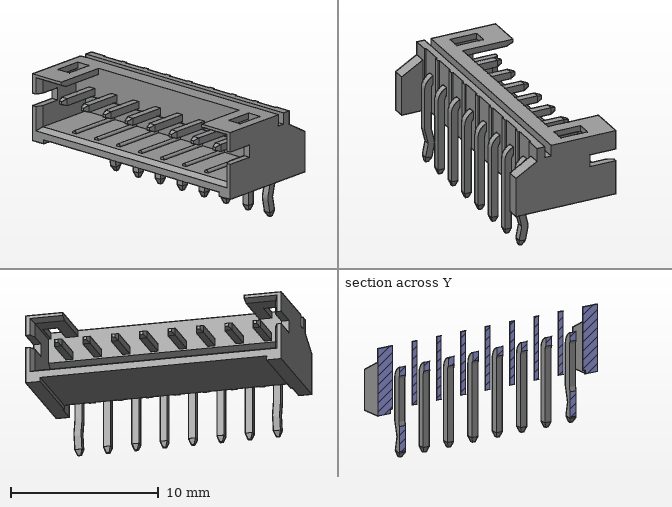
import cadquery as cq
import math


LENGTH = 18.0
DEPTH = 7.6
HEIGHT = 4.8
BODY_REAR = 6.0
ARM_WIDTH = 0.92
ARM_SLOPE_DROP = 0.97
ARM_SLOPE_ANGLE = 30.0
FOOT_WIDTH = 1.03
FOOT_HEIGHT = 0.29

GROOVE_FRONT = 4.91
GROOVE_WIDTH = 0.49
GROOVE_DEPTH = 0.81

SIDE_WALL = 0.52
TOP_WALL = 0.43
FLOOR_Z = 0.99
CAVITY_DEPTH = 3.82
LEAD_IN = 0.22
LEAD_IN_DEPTH = 0.49
UNDERCUT_TOP = 2.65
UNDERCUT_RISE = 0.5
UNDERCUT_DEPTH = 1.0

WINDOW_MARGIN = 2.61
SLOT_MARGIN = 0.7
SLOT_WIDTH = 1.05
SLOT_FRONT = 1.8
NOTCH_DEPTH = 1.96
NOTCH_BOTTOM = 2.52
NOTCH_HEIGHT = 0.88

RIB_RADIUS = 0.171
RIB_FRONT = 0.92

PIN_COUNT = 8
PITCH = 2.0
PIN = 0.5
PIN_TIP = 0.22
TAPER_LENGTH = 0.4
PIN_AXIS_Z = 3.02
PIN_FRONT = 0.61
PIN_BOTTOM = -3.3
BEND_INNER = 0.5
LEG_GAP = 0.04
PIN_RECESS_WIDTH = 1.6
PIN_RECESS_DEPTH = 0.1

KINK_START_Z = -0.74
KINK_PEAK_Z = -1.84
KINK_END_Z = -2.85
KINK_OFFSET = 0.27
KINK_END_OFFSET = 0.07
KINK_RADIUS = 1.0

LEG_FRONT = BODY_REAR + LEG_GAP
LEG_REAR = LEG_FRONT + PIN
LEG_TOP = PIN_AXIS_Z - PIN / 2 - BEND_INNER
TAPER_ANGLE = math.degrees(math.atan((PIN - PIN_TIP) / 2 / TAPER_LENGTH))
PIN_XS = [(i - (PIN_COUNT - 1) / 2) * PITCH for i in range(PIN_COUNT)]


def block(x0, x1, y0, y1, z0, z1):
    """Box between two opposite corners."""
    return cq.Workplane("XY").box(x1 - x0, y1 - y0, z1 - z0, centered=False).translate((x0, y0, z0))


def centred_block(width, y0, y1, z0, z1):
    return block(-width / 2, width / 2, y0, y1, z0, z1)


def extrude_across(points, width):
    """Extrude a closed (y, z) outline along X, centred on X = 0."""
    return cq.Workplane("YZ").polyline(points).close().extrude(width / 2, both=True)


def shroud_blank():
    arm_drop = (DEPTH - BODY_REAR) * math.tan(math.radians(ARM_SLOPE_ANGLE))
    slope_top = HEIGHT - ARM_SLOPE_DROP
    outline = [
        (0, 0),
        (DEPTH, 0),
        (DEPTH, slope_top - arm_drop),
        (BODY_REAR, slope_top),
        (BODY_REAR, HEIGHT),
        (0, HEIGHT),
    ]
    blank = extrude_across(outline, LENGTH)
    blank = blank.cut(centred_block(LENGTH - 2 * ARM_WIDTH, BODY_REAR, DEPTH, 0, HEIGHT))
    blank = blank.cut(centred_block(LENGTH - 2 * FOOT_WIDTH, 0, DEPTH, 0, FOOT_HEIGHT))
    groove_rear = GROOVE_FRONT + GROOVE_WIDTH
    return blank.cut(centred_block(LENGTH, GROOVE_FRONT, groove_rear, HEIGHT - GROOVE_DEPTH, HEIGHT))


def cavity():
    width = LENGTH - 2 * SIDE_WALL
    height = HEIGHT - TOP_WALL - FLOOR_Z
    middle_z = FLOOR_Z + height / 2
    main = centred_block(width, 0, CAVITY_DEPTH, FLOOR_Z, FLOOR_Z + height)
    mouth = (
        cq.Workplane("XZ", origin=(0, 0, middle_z))
        .rect(width + 2 * LEAD_IN, height + 2 * LEAD_IN)
        .workplane(offset=-LEAD_IN_DEPTH)
        .rect(width, height)
        .loft(ruled=True)
    )
    undercut_rear = CAVITY_DEPTH + UNDERCUT_DEPTH
    undercut = extrude_across(
        [
            (CAVITY_DEPTH, FLOOR_Z),
            (undercut_rear, FLOOR_Z),
            (undercut_rear, UNDERCUT_TOP - UNDERCUT_RISE),
            (CAVITY_DEPTH, UNDERCUT_TOP),
        ],
        width,
    )
    return main.union(mouth).union(undercut)


def wall_openings():
    roof_z = HEIGHT - TOP_WALL
    openings = centred_block(LENGTH - 2 * WINDOW_MARGIN, 0, CAVITY_DEPTH, roof_z, HEIGHT)
    openings = openings.union(
        centred_block(LENGTH, 0, NOTCH_DEPTH, NOTCH_BOTTOM, NOTCH_BOTTOM + NOTCH_HEIGHT)
    )
    slot_start = SLOT_MARGIN - LENGTH / 2
    slot = block(slot_start, slot_start + SLOT_WIDTH, SLOT_FRONT, CAVITY_DEPTH, roof_z, HEIGHT)
    return openings.union(slot).union(slot.mirror("YZ"))


def rear_recess(x):
    half = PIN_RECESS_WIDTH / 2
    return block(x - half, x + half, BODY_REAR - PIN_RECESS_DEPTH, BODY_REAR, 0, HEIGHT)


def floor_rib(x):
    """Half-round rib reaching from near the mouth to the rear of the undercut."""
    length = CAVITY_DEPTH + UNDERCUT_DEPTH - RIB_FRONT
    return cq.Workplane("XZ", origin=(x, RIB_FRONT, FLOOR_Z)).circle(RIB_RADIUS).extrude(-length)


def tapered_tip(y, z, direction, thickness):
    """Pyramid tip growing from (y, z) along a (y, z) direction."""
    plane = cq.Plane(origin=(0, y, z), xDir=(1, 0, 0), normal=(0, *direction))
    return cq.Workplane(plane).rect(PIN, thickness).extrude(TAPER_LENGTH, taper=TAPER_ANGLE)


def pin_upper():
    """Mating pin and the rounded bend, down to the end of the bend."""
    top = PIN_AXIS_Z + PIN / 2
    bottom = top - PIN
    front = PIN_FRONT + TAPER_LENGTH
    bend_y = LEG_FRONT - BEND_INNER
    bend_z = bottom - BEND_INNER
    diagonal = math.sqrt(0.5)
    outer = BEND_INNER + PIN
    bar = (
        cq.Workplane("YZ")
        .moveTo(front, bottom)
        .lineTo(front, top)
        .lineTo(bend_y, top)
        .threePointArc((bend_y + outer * diagonal, bend_z + outer * diagonal), (LEG_REAR, bend_z))
        .lineTo(LEG_FRONT, bend_z)
        .threePointArc((bend_y + BEND_INNER * diagonal, bend_z + BEND_INNER * diagonal), (bend_y, bottom))
        .close()
        .extrude(PIN / 2, both=True)
    )
    return bar.union(tapered_tip(front, PIN_AXIS_Z, (-1, 0), PIN))


def straight_leg():
    shoulder = PIN_BOTTOM + TAPER_LENGTH
    leg = centred_block(PIN, LEG_FRONT, LEG_REAR, shoulder, LEG_TOP)
    return leg.union(tapered_tip(LEG_FRONT + PIN / 2, shoulder, (0, -1), PIN))


def kinked_leg():
    """Leg that bows forward, then leans back; its end is square to the lean."""
    lean = math.atan((KINK_OFFSET - KINK_END_OFFSET) / (KINK_PEAK_Z - KINK_END_Z))
    end_thickness = PIN * math.cos(lean)
    end_rear = (LEG_REAR - KINK_END_OFFSET, KINK_END_Z)
    end_front = (
        end_rear[0] - end_thickness * math.cos(lean),
        end_rear[1] - end_thickness * math.sin(lean),
    )
    front_peak = (LEG_FRONT - KINK_OFFSET, KINK_PEAK_Z)
    leg = extrude_across(
        [
            (LEG_REAR, LEG_TOP),
            (LEG_REAR, KINK_START_Z),
            (LEG_REAR - KINK_OFFSET, KINK_PEAK_Z),
            end_rear,
            end_front,
            front_peak,
            (LEG_FRONT, KINK_START_Z),
            (LEG_FRONT, LEG_TOP),
        ],
        PIN,
    )
    peak_edge = cq.selectors.NearestToPointSelector((0, *front_peak))
    leg = leg.edges("|X").edges(peak_edge).fillet(KINK_RADIUS)
    end_y = (end_rear[0] + end_front[0]) / 2
    end_z = (end_rear[1] + end_front[1]) / 2
    return leg.union(tapered_tip(end_y, end_z, (math.sin(lean), -math.cos(lean)), end_thickness))


result = shroud_blank().cut(cavity()).cut(wall_openings())

for pin_x in PIN_XS:
    result = result.cut(rear_recess(pin_x))

for pin_x in PIN_XS[:-1]:
    result = result.union(floor_rib(pin_x + PITCH / 2))

straight_pin = pin_upper().union(straight_leg())
kinked_pin = pin_upper().union(kinked_leg())
for pin_x in PIN_XS:
    is_end_pin = pin_x in (PIN_XS[0], PIN_XS[-1])
    pin = kinked_pin if is_end_pin else straight_pin
    result = result.union(pin.translate((pin_x, 0, 0)))